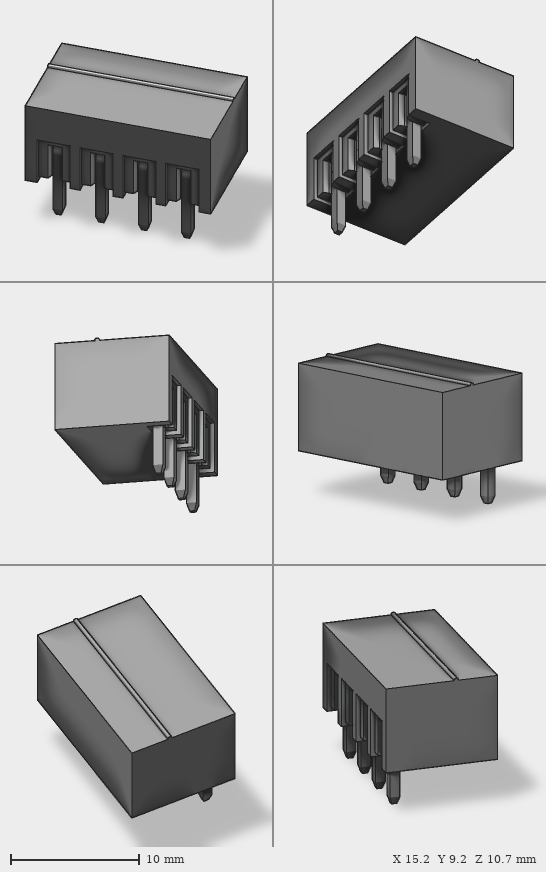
import cadquery as cq


length = 15.2
depth = 9.2
height = 7.0
front_y = -depth / 2

ridge_radius = 0.2
ridge_y = 1.2

pin_count = 4
pin_pitch = 3.51
pin_size = 0.8
pin_inset = 1.0
pin_reach = 3.5
tip_length = 0.6
tip_size = 0.43
bend_radius = 1.0
bend_top = 3.18
inner_radius = bend_radius - pin_size
pin_front = front_y + pin_inset

pocket_width = 2.7
pocket_height = 4.0
pocket_depth = 0.35
floor_y = front_y + pocket_depth

back_y = pin_front + bend_radius
clearance_height = 0.35
slot_mouth = 1.19
slot_throat = pin_size
slot_height = 3.47
flare_depth = 0.45

pin_places = [(i - (pin_count - 1) / 2) * pin_pitch for i in range(pin_count)]


def box_between(width, y_start, y_end, box_height):
    """Box centred on X, standing on Z = 0."""
    return cq.Workplane("XY").box(
        width, y_end - y_start, box_height, centered=(True, False, False)
    ).translate((0, y_start, 0))


def make_housing():
    body = box_between(length, front_y, -front_y, height)
    ridge = (
        cq.Workplane("YZ", origin=(-length / 2, ridge_y, height))
        .circle(ridge_radius)
        .extrude(length)
    )
    return body.union(ridge)


def make_slot():
    """Slot narrowing to its throat, under a roof that slopes down to the top of the bend."""
    flare_y = floor_y + flare_depth
    plan = (
        cq.Workplane("XY")
        .moveTo(-slot_mouth / 2, floor_y)
        .lineTo(slot_mouth / 2, floor_y)
        .lineTo(slot_throat / 2, flare_y)
        .lineTo(slot_throat / 2, back_y)
        .lineTo(-slot_throat / 2, back_y)
        .lineTo(-slot_throat / 2, flare_y)
        .close()
        .extrude(slot_height)
    )
    under_roof = (
        cq.Workplane("YZ", origin=(-slot_mouth / 2, 0, 0))
        .moveTo(floor_y, 0)
        .lineTo(back_y, 0)
        .lineTo(back_y, bend_top)
        .lineTo(floor_y, slot_height)
        .close()
        .extrude(slot_mouth)
    )
    return plan.intersect(under_roof)


def make_opening():
    """Everything removed from the housing for one pin."""
    pocket = box_between(pocket_width, front_y, floor_y, pocket_height)
    clearance = box_between(pocket_width, front_y, back_y, clearance_height)
    return pocket.union(clearance).union(make_slot())


def make_pin():
    """Square pin bent back into the housing, with a tapered tip."""
    shoulder_z = tip_length - pin_reach
    pin_back = pin_front + pin_size
    bend_z = bend_top - bend_radius
    shank = (
        cq.Workplane("YZ", origin=(-pin_size / 2, 0, 0))
        .moveTo(pin_front, shoulder_z)
        .lineTo(pin_front, bend_z)
        .radiusArc((back_y, bend_top), bend_radius)
        .lineTo(back_y, bend_top - pin_size)
        .radiusArc((pin_back, bend_z), -inner_radius)
        .lineTo(pin_back, shoulder_z)
        .close()
        .extrude(pin_size)
    )
    tip = (
        cq.Workplane("XY", origin=(0, pin_front + pin_size / 2, shoulder_z))
        .rect(pin_size, pin_size)
        .workplane(offset=-tip_length)
        .rect(tip_size, tip_size)
        .loft()
    )
    return shank.union(tip)


result = make_housing()
opening = make_opening()
pin = make_pin()
for x in pin_places:
    result = result.cut(opening.translate((x, 0, 0)))
    result = result.union(pin.translate((x, 0, 0)))